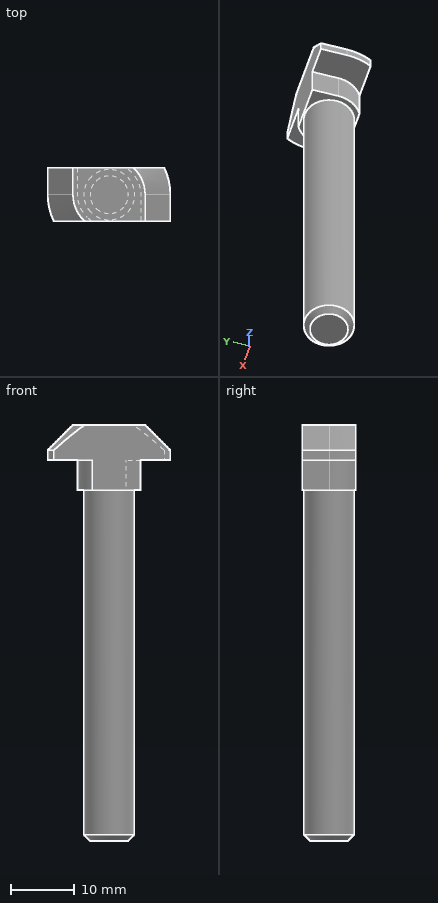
import cadquery as cq

total_height = 65.7
head_length = 19.4
width = 8.5
neck_length = 10.0
shank_diameter = 8.0

head_bevel = 4.0
head_land = 1.55
neck_height = 4.75
tip_chamfer = 1.0

head_height = head_land + head_bevel
shank_length = total_height - head_height - neck_height
neck_top = shank_length + neck_height


def half_outline(length, height, bevel):
    """Right half of an end-bevelled block in XZ, from the bolt axis outward."""
    reach = length / 2
    outline = cq.Workplane("XZ").lineTo(reach, 0)
    if bevel:
        outline = outline.lineTo(reach, height - bevel)
    return outline.lineTo(reach - bevel, height).lineTo(0, height).close()


def twist_block(length, height, bevel=0):
    """Flat-sided block with square (+X, -Y) and (-X, +Y) corners.

    The other two corners are turned about the bolt axis, so the bolt can be
    twisted into a slot until the square corners stop it.
    """
    half_width = width / 2
    square_corner = half_outline(length, height, bevel).extrude(half_width)
    opposite_corner = square_corner.rotate((0, 0, 0), (0, 0, 1), 180)

    turned = half_outline(length, height, bevel).revolve(360, (0, 0), (0, 1))
    turned_quarters = (
        cq.Workplane("XY")
        .pushPoints([(length / 4, half_width / 2), (-length / 4, -half_width / 2)])
        .rect(length / 2, half_width)
        .extrude(height)
        .intersect(turned)
    )
    return square_corner.union(opposite_corner).union(turned_quarters)


def chamfered_shank():
    """Round shank standing on the XY plane with a chamfered lower tip."""
    shank = cq.Workplane("XY").circle(shank_diameter / 2).extrude(shank_length)
    return shank.faces("<Z").chamfer(tip_chamfer)


neck = twist_block(neck_length, neck_height).translate((0, 0, shank_length))
head = twist_block(head_length, head_height, head_bevel).translate((0, 0, neck_top))

result = chamfered_shank().union(neck).union(head)